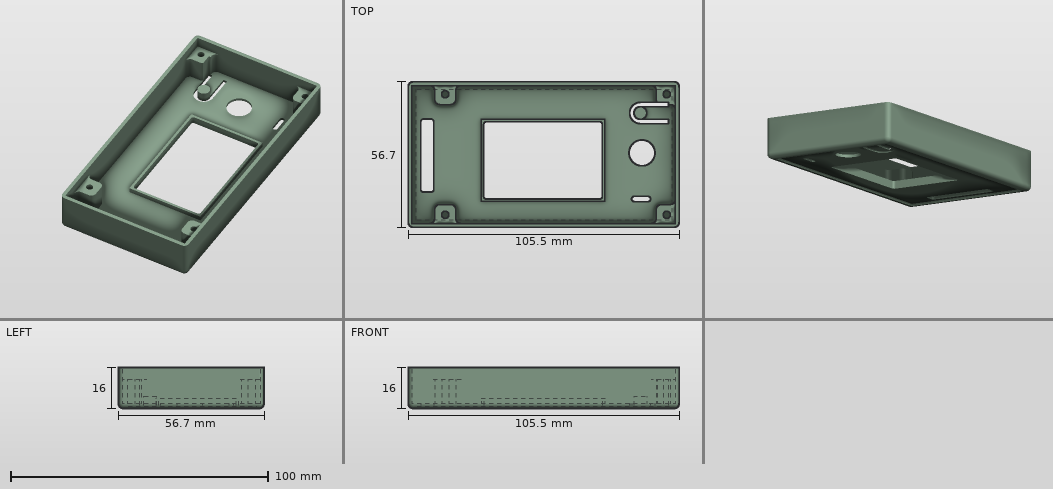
import cadquery as cq

LENGTH = 105.5
WIDTH = 56.7
HEIGHT = 16.0
WALL = 1.5
FLOOR = 2.0
OUTER_RADIUS = 2.0
INNER_LENGTH = LENGTH - 2 * WALL
INNER_WIDTH = WIDTH - 2 * WALL
INNER_RIGHT = INNER_LENGTH / 2
INNER_BACK = INNER_WIDTH / 2

RECESS_DEPTH = 0.9
RECESS_MARGIN = 3.0
RECESS_LENGTH = LENGTH - 2 * RECESS_MARGIN
RECESS_WIDTH = WIDTH - 2 * RECESS_MARGIN

POST_TOP = 11.5
POST_HEIGHT = POST_TOP - FLOOR
POST_WIDTH = 8.2
POST_LEFT_X = -38.3
POST_RIGHT_X = 47.9
POST_FACE_Y = 19.45
POST_HOLE_Y = 23.45
POST_HOLE_DIAMETER = 2.8
POST_RADIUS = 2.0

WINDOW_X = -0.27
WINDOW_Y = -2.28
WINDOW_LENGTH = 46.1
WINDOW_WIDTH = 30.0
WINDOW_RADIUS = 1.0
RIM_WALL = 1.0
RIM_HEIGHT = 2.0

SIDE_OPENING_X = -45.3
SIDE_OPENING_Y = -0.4
SIDE_OPENING_LENGTH = 28.3
SIDE_OPENING_WIDTH = 5.0
SIDE_OPENING_RADIUS = 1.0

ROUND_OPENING_X = 38.25
ROUND_OPENING_Y = 0.63
ROUND_OPENING_DIAMETER = 10.0
SMALL_SLOT_X = 37.9
SMALL_SLOT_Y = -17.3
SMALL_SLOT_LENGTH = 7.3
SMALL_SLOT_WIDTH = 2.0

BUTTON_X = 37.6
BUTTON_Y = 16.15
BUTTON_DIAMETER = 5.0
BUTTON_GAP = 1.6
BUTTON_ROOT_X = 48.55
BUTTON_PIN_TOP = 4.8


def upright_box(x_min, x_max, y_min, y_max, z_min, height):
    """Box given by its limits in X and Y, its base level and its height."""
    return (
        cq.Workplane("XY", origin=((x_min + x_max) / 2, (y_min + y_max) / 2, z_min))
        .rect(x_max - x_min, y_max - y_min)
        .extrude(height)
    )


def upright_cylinder(x, y, diameter, z_min, height):
    return cq.Workplane("XY", origin=(x, y, z_min)).circle(diameter / 2).extrude(height)


def make_shell():
    block = cq.Workplane("XY").rect(LENGTH, WIDTH).extrude(HEIGHT)
    block = block.edges("|Z").fillet(OUTER_RADIUS)
    block = block.faces("<Z").edges().fillet(OUTER_RADIUS)
    cavity = (
        cq.Workplane("XY", origin=(0, 0, FLOOR))
        .rect(INNER_LENGTH, INNER_WIDTH)
        .extrude(HEIGHT - FLOOR)
    )
    recess = cq.Workplane("XY").rect(RECESS_LENGTH, RECESS_WIDTH).extrude(RECESS_DEPTH)
    return block.cut(cavity).cut(recess)


def concave_fillet(x, y, x_side, y_side):
    """Post-high fillet filling the corner at (x, y), spreading toward x_side and y_side."""
    x_end = x + x_side * POST_RADIUS
    y_end = y + y_side * POST_RADIUS
    square = upright_box(min(x, x_end), max(x, x_end), min(y, y_end), max(y, y_end), FLOOR, POST_HEIGHT)
    return square.cut(upright_cylinder(x_end, y_end, 2 * POST_RADIUS, FLOOR, POST_HEIGHT))


def make_post(x, y_side):
    """Screw post on the wall at y_side; a post that reaches the right wall is blended into it too."""
    x_min = x - POST_WIDTH / 2
    meets_right_wall = x + POST_WIDTH / 2 > INNER_RIGHT
    x_max = INNER_RIGHT if meets_right_wall else x + POST_WIDTH / 2
    face_y = y_side * POST_FACE_Y
    wall_y = y_side * INNER_BACK
    post = upright_box(x_min, x_max, min(face_y, wall_y), max(face_y, wall_y), FLOOR, POST_HEIGHT)
    free_end = post.faces("<Y" if y_side > 0 else ">Y")
    free_corners = free_end.edges("|Z and <X" if meets_right_wall else "|Z")
    post = free_corners.fillet(POST_RADIUS)
    post = post.union(concave_fillet(x_min, wall_y, -1, -y_side))
    if meets_right_wall:
        return post.union(concave_fillet(x_max, face_y, -1, -y_side))
    return post.union(concave_fillet(x_max, wall_y, 1, -y_side))


def add_posts(body):
    for y_side in (-1, 1):
        for x in (POST_LEFT_X, POST_RIGHT_X):
            hole = upright_cylinder(x, y_side * POST_HOLE_Y, POST_HOLE_DIAMETER, FLOOR, POST_HEIGHT)
            body = body.union(make_post(x, y_side)).cut(hole)
    return body


def add_window(body):
    rim = (
        cq.Workplane("XY", origin=(WINDOW_X, WINDOW_Y, FLOOR))
        .rect(WINDOW_LENGTH + 2 * RIM_WALL, WINDOW_WIDTH + 2 * RIM_WALL)
        .extrude(RIM_HEIGHT)
    )
    window = (
        cq.Workplane("XY", origin=(WINDOW_X, WINDOW_Y, 0))
        .rect(WINDOW_LENGTH, WINDOW_WIDTH)
        .extrude(FLOOR + RIM_HEIGHT)
        .edges("|Z")
        .fillet(WINDOW_RADIUS)
    )
    return body.union(rim).cut(window)


def cut_floor_openings(body):
    side_opening = (
        cq.Workplane("XY", origin=(SIDE_OPENING_X, SIDE_OPENING_Y, 0))
        .rect(SIDE_OPENING_WIDTH, SIDE_OPENING_LENGTH)
        .extrude(FLOOR)
        .edges("|Z")
        .fillet(SIDE_OPENING_RADIUS)
    )
    round_opening = upright_cylinder(ROUND_OPENING_X, ROUND_OPENING_Y, ROUND_OPENING_DIAMETER, 0, FLOOR)
    small_slot = (
        cq.Workplane("XY", origin=(SMALL_SLOT_X, SMALL_SLOT_Y, 0))
        .slot2D(SMALL_SLOT_LENGTH, SMALL_SLOT_WIDTH)
        .extrude(FLOOR)
    )
    return body.cut(side_opening).cut(round_opening).cut(small_slot)


def tongue(diameter, height):
    """Bar with a round tip at the button, running to the root of the tongue."""
    radius = diameter / 2
    bar = upright_box(BUTTON_X, BUTTON_ROOT_X, BUTTON_Y - radius, BUTTON_Y + radius, 0, height)
    return bar.union(upright_cylinder(BUTTON_X, BUTTON_Y, diameter, 0, height))


def add_button(body):
    gap = tongue(BUTTON_DIAMETER + 2 * BUTTON_GAP, POST_TOP).cut(tongue(BUTTON_DIAMETER, POST_TOP))
    pin = upright_cylinder(BUTTON_X, BUTTON_Y, BUTTON_DIAMETER, FLOOR, BUTTON_PIN_TOP - FLOOR)
    return body.cut(gap).union(pin)


result = add_button(cut_floor_openings(add_window(add_posts(make_shell()))))